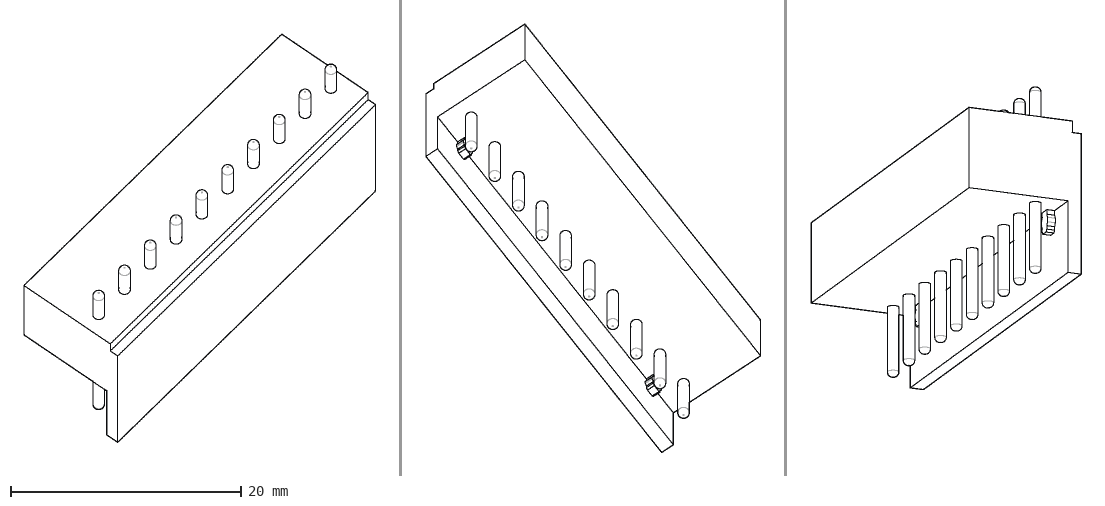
import cadquery as cq

length = 35.0
width = 10.6
block_height = 7.35
wall_thickness = 1.25
wall_drop = 6.55
step_width = 0.85
step_depth = 1.05

pin_count = 10
pin_pitch = 3.5
pin_diameter = 1.0
pin_from_left = 7.0
pin_above_block = 3.25
pin_gap_to_wall_foot = 0.18
pin_end_round = 0.45

rib_offset = (pin_count - 2) * pin_pitch / 2
rib_thickness = 0.75
rib_half_width = 0.52
rib_bulge_half_width = 0.65
rib_bulge_crest = 0.7
rib_tip_half_width = 0.35
rib_neck_depth = 0.42
rib_bulge_start = 0.75
rib_bulge_end = 1.15
rib_shoulder_depth = 1.47
rib_chamfer_depth = 1.8
rib_depth = 2.0

left_x = -width / 2
right_x = width / 2
wall_x = right_x - wall_thickness
block_bottom = 0.0
block_top = block_bottom + block_height
wall_bottom = block_bottom - wall_drop


def make_housing():
    """Extrude the stepped L-shaped section along Y."""
    section = [
        (left_x, block_bottom),
        (left_x, block_top),
        (right_x - step_width, block_top),
        (right_x - step_width, block_top - step_depth),
        (right_x, block_top - step_depth),
        (right_x, wall_bottom),
        (wall_x, wall_bottom),
        (wall_x, block_bottom),
    ]
    return cq.Workplane("XZ").polyline(section).close().extrude(length / 2, both=True)


def make_pin(y):
    """Make an upright pin with both ends rounded over, leaving a small flat on each."""
    foot_z = wall_bottom + pin_gap_to_wall_foot
    head_z = block_top + pin_above_block
    return (
        cq.Workplane("XY", origin=(left_x + pin_from_left, y, foot_z))
        .circle(pin_diameter / 2)
        .extrude(head_z - foot_z)
        .faces("<Z or >Z")
        .edges()
        .fillet(pin_end_round)
    )


def make_rib(y):
    """Make a rib that hangs from the block, bulges out and ends in a chamfered tip."""
    bulge_middle = (rib_bulge_start + rib_bulge_end) / 2
    return (
        cq.Workplane("YZ", origin=(wall_x - rib_thickness, y, block_bottom))
        .moveTo(-rib_half_width, 0)
        .lineTo(-rib_half_width, -rib_neck_depth)
        .lineTo(-rib_bulge_half_width, -rib_bulge_start)
        .threePointArc((-rib_bulge_crest, -bulge_middle), (-rib_bulge_half_width, -rib_bulge_end))
        .lineTo(-rib_half_width, -rib_shoulder_depth)
        .lineTo(-rib_half_width, -rib_chamfer_depth)
        .lineTo(-rib_tip_half_width, -rib_depth)
        .lineTo(rib_tip_half_width, -rib_depth)
        .lineTo(rib_half_width, -rib_chamfer_depth)
        .lineTo(rib_half_width, -rib_shoulder_depth)
        .lineTo(rib_bulge_half_width, -rib_bulge_end)
        .threePointArc((rib_bulge_crest, -bulge_middle), (rib_bulge_half_width, -rib_bulge_start))
        .lineTo(rib_half_width, -rib_neck_depth)
        .lineTo(rib_half_width, 0)
        .close()
        .extrude(rib_thickness)
    )


result = make_housing()
for index in range(pin_count):
    pin_y = (index - (pin_count - 1) / 2) * pin_pitch
    result = result.union(make_pin(pin_y))
for rib_y in (-rib_offset, rib_offset):
    result = result.union(make_rib(rib_y))